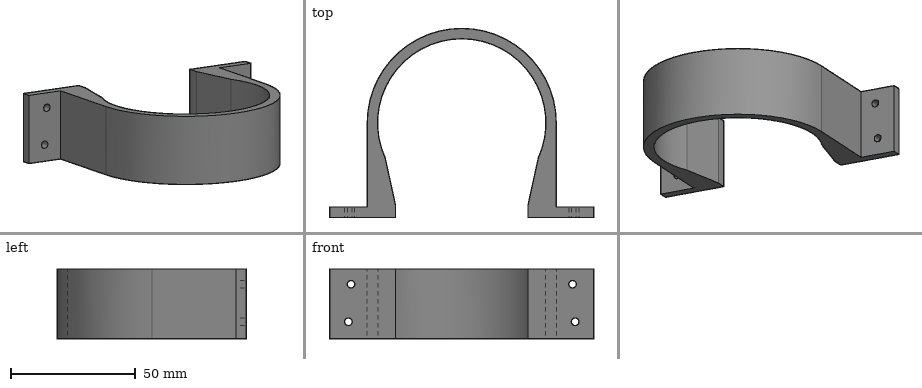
import cadquery as cq
import math

width = 105.8
height = 28.0
outer_radius = 37.9
wall = 4.2
inner_radius = outer_radius - wall
ring_center_y = 37.9

foot_thickness = 4.2
foot_inner_x = 26.5
taper_drop = 14.0
taper_start_x = math.sqrt(inner_radius**2 - taper_drop**2)
taper_start_y = ring_center_y - taper_drop
taper_end_y = 4.9

hole_diameter = 3.0
hole_places = [(44.3, 21.9), (45.4, 6.9)]


def clamp_body():
    """Arch, tapered legs and feet extruded from one closed outline."""
    half_width = width / 2
    return (
        cq.Workplane("XY")
        .moveTo(-half_width, 0)
        .lineTo(-half_width, foot_thickness)
        .lineTo(-outer_radius, foot_thickness)
        .lineTo(-outer_radius, ring_center_y)
        .threePointArc((0, ring_center_y + outer_radius), (outer_radius, ring_center_y))
        .lineTo(outer_radius, foot_thickness)
        .lineTo(half_width, foot_thickness)
        .lineTo(half_width, 0)
        .lineTo(foot_inner_x, 0)
        .lineTo(foot_inner_x, taper_end_y)
        .lineTo(taper_start_x, taper_start_y)
        .threePointArc((0, ring_center_y + inner_radius), (-taper_start_x, taper_start_y))
        .lineTo(-foot_inner_x, taper_end_y)
        .lineTo(-foot_inner_x, 0)
        .close()
        .extrude(height)
    )


def screw_holes():
    """Mirrored pairs of holes running through the feet along Y."""
    points = [(side * x, z) for side in (-1, 1) for x, z in hole_places]
    return (
        cq.Workplane("XZ")
        .pushPoints(points)
        .circle(hole_diameter / 2)
        .extrude(-foot_thickness)
    )


result = clamp_body().cut(screw_holes())